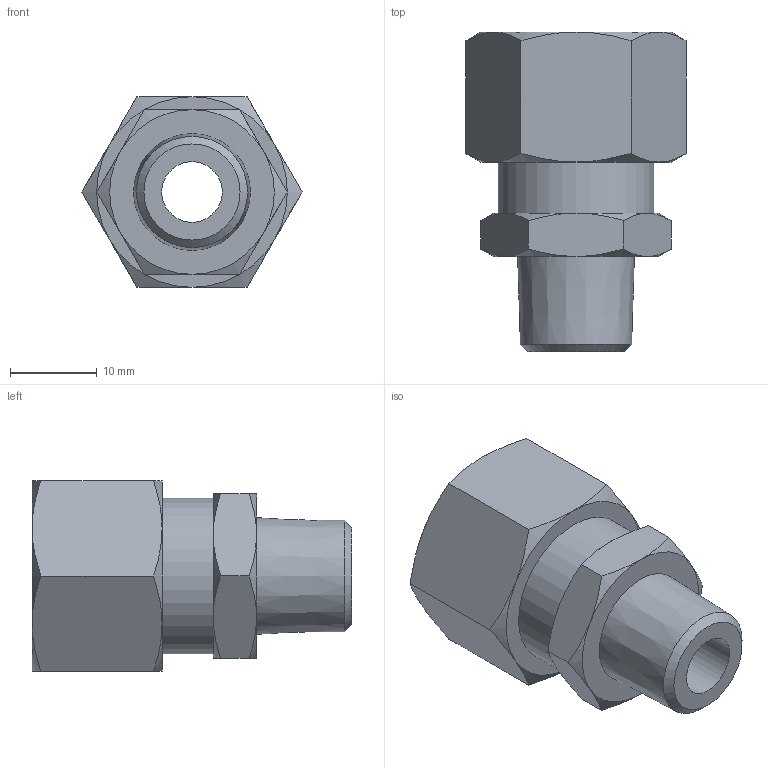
import cadquery as cq
import math

thread_length = 11.0
body_hex_length = 5.0
collar_length = 5.9
nut_length = 15.0

body_hex_flats = 19.0
nut_flats = 22.0
collar_diameter = 18.0
bore_diameter = 7.0

gauge_length = 6.0
gauge_diameter = 13.157
thread_taper = 1 / 16
thread_tip_diameter = 11.1
thread_tip_chamfer = 0.85

hex_chamfer_angle = 30.0

body_hex_start = thread_length
collar_start = body_hex_start + body_hex_length
nut_start = collar_start + collar_length
total_length = nut_start + nut_length


def revolve_about_y(profile_points):
    """Solid of revolution from (radius, y) points, closed along the Y axis."""
    return cq.Workplane("XY").polyline(profile_points).close().revolve(360, (0, 0, 0), (0, 1, 0))


def cylinder(diameter, start, length):
    radius = diameter / 2
    end = start + length
    return revolve_about_y([(0, start), (radius, start), (radius, end), (0, end)])


def chamfered_hex(flats, start, length):
    """Hexagon with corners on the X axis, its corners turned down conically at both ends."""
    corner_diameter = flats / math.cos(math.radians(30))
    prism = (
        cq.Workplane("XZ", origin=(0, start, 0))
        .polygon(6, corner_diameter)
        .extrude(-length)
    )
    flat_radius = flats / 2
    corner_radius = corner_diameter / 2
    chamfer = (corner_radius - flat_radius) * math.tan(math.radians(hex_chamfer_angle))
    end = start + length
    turned_blank = revolve_about_y([
        (0, start),
        (flat_radius, start),
        (corner_radius, start + chamfer),
        (corner_radius, end - chamfer),
        (flat_radius, end),
        (0, end),
    ])
    return prism.intersect(turned_blank)


def thread_radius(y):
    """Radius of the tapered thread at a distance y from its tip."""
    return (gauge_diameter + (y - gauge_length) * thread_taper) / 2


def tapered_thread():
    """Cone with a chamfered tip, widening towards the body hexagon."""
    return revolve_about_y([
        (0, 0),
        (thread_tip_diameter / 2, 0),
        (thread_radius(thread_tip_chamfer), thread_tip_chamfer),
        (thread_radius(thread_length), thread_length),
        (0, thread_length),
    ])


thread = tapered_thread()
body_hex = chamfered_hex(body_hex_flats, body_hex_start, body_hex_length)
collar = cylinder(collar_diameter, collar_start, collar_length)
nut = chamfered_hex(nut_flats, nut_start, nut_length)
bore = cylinder(bore_diameter, 0, total_length)

result = thread.union(body_hex).union(collar).union(nut).cut(bore)